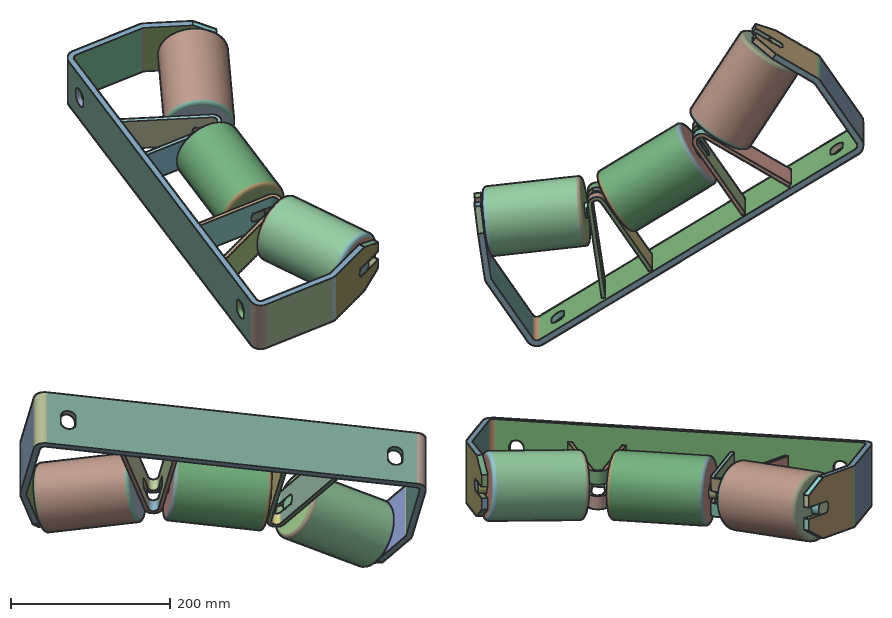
import cadquery as cq
import math


LENGTH = 500.0
STRIP_WIDTH = 80.0
FRAME_THICKNESS = 8.0
FRAME_INNER_RADIUS = 6.0
FRAME_OUTER_RADIUS = FRAME_INNER_RADIUS + FRAME_THICKNESS
BEND_HEIGHT = 112.0
ARM_LENGTH = 94.0
TIP_CHAMFER_LENGTH = 30.0
TIP_CHAMFER_ANGLE = 30.0
MOUNT_SLOT_WIDTH = 19.0
MOUNT_SLOT_HEIGHT = 28.0
MOUNT_SLOT_X = 208.5

LEAN_ANGLE = 25.0
TILT_ANGLE = 3.0
LEAN_SIN = math.sin(math.radians(LEAN_ANGLE))
LEAN_COS = math.cos(math.radians(LEAN_ANGLE))
TILT_SIN = math.sin(math.radians(TILT_ANGLE))
TILT_COS = math.cos(math.radians(TILT_ANGLE))

BRACKET_WIDTH = 50.0
BRACKET_THICKNESS = 5.0
BRACKET_OUTER_RADIUS = 11.5
BRACKET_INNER_RADIUS = BRACKET_OUTER_RADIUS - BRACKET_THICKNESS
BRACKET_FACE_X = 67.0
BRACKET_BEND_X = BRACKET_FACE_X + BRACKET_OUTER_RADIUS
BRACKET_BEND_Y = 118.5

ROLLER_LENGTH = 125.0
ROLLER_DIAMETER = 88.5
ROLLER_FILLET = 5.0
SHAFT_DIAMETER = 20.0
SHOULDER_LENGTH = 2.5
SHAFT_FLATS = 15.0
OPEN_SLOT_LENGTH = 50.0
MIDDLE_AXIS_Y = 101.0
MIDDLE_AXIS_Z = -8.0
ARM_AXIS_DISTANCE = 63.5
ARM_AXIS_Z = -0.5
ARM_ROLLER_GAP = 3.5

SIDE_OUTER_REACH = ROLLER_LENGTH / 2 + ARM_ROLLER_GAP + FRAME_THICKNESS
ARM_AXIS_X = -LENGTH / 2 + ARM_AXIS_DISTANCE * LEAN_SIN
ARM_AXIS_Y = BEND_HEIGHT + ARM_AXIS_DISTANCE * LEAN_COS
AXIS_DIRECTION = cq.Vector(-LEAN_COS * TILT_COS, LEAN_SIN * TILT_COS, TILT_SIN)
SIDE_CENTER = cq.Vector(ARM_AXIS_X, ARM_AXIS_Y, ARM_AXIS_Z) - AXIS_DIRECTION * SIDE_OUTER_REACH

BEND_TO_CENTER = -(SIDE_CENTER.x + BRACKET_BEND_X) * LEAN_COS + (SIDE_CENTER.y - BRACKET_BEND_Y) * LEAN_SIN
SIDE_INNER_REACH = (BEND_TO_CENTER - BRACKET_INNER_RADIUS) / TILT_COS
SIDE_SPAN = (SIDE_INNER_REACH + SIDE_OUTER_REACH) * TILT_COS
MIDDLE_REACH = BRACKET_FACE_X + BRACKET_THICKNESS

ARM_UP = (LEAN_SIN, LEAN_COS, 0)
ARM_OUT = (-LEAN_COS, LEAN_SIN, 0)
SIDE_PLANE = cq.Plane(origin=SIDE_CENTER.toTuple(), xDir=ARM_UP, normal=AXIS_DIRECTION.toTuple())
MIDDLE_PLANE = cq.Plane(origin=(0, MIDDLE_AXIS_Y, MIDDLE_AXIS_Z), xDir=(0, 1, 0), normal=(-1, 0, 0))

SIDE_INNER_END = SIDE_CENTER - AXIS_DIRECTION * SIDE_INNER_REACH
SIDE_INNER_FACE = cq.Plane(origin=SIDE_INNER_END.toTuple(), xDir=ARM_UP, normal=ARM_OUT)
MIDDLE_INNER_FACE = cq.Plane(
    origin=(MIDDLE_REACH, MIDDLE_AXIS_Y, MIDDLE_AXIS_Z), xDir=(0, 1, 0), normal=(-1, 0, 0)
)


def both_sides(solid):
    """The left-hand solid and its mirror image on the right."""
    return [solid, solid.mirror("YZ")]



def make_shaft(plane, inner_face, span):
    """Shaft with two flats along a plane's normal, trimmed flush with the plates that hold it.

    The span runs from the inner plate face, given as a plane, to the outer plate face.
    """
    base = cq.Workplane(plane)
    rod = base.circle(SHAFT_DIAMETER / 2).extrude(span, both=True)
    flats = base.rect(SHAFT_DIAMETER, SHAFT_FLATS).extrude(span, both=True)
    between_faces = cq.Workplane(inner_face).rect(ROLLER_DIAMETER, ROLLER_DIAMETER).extrude(span)
    return rod.intersect(flats).intersect(between_faces).clean()


def make_open_slot(plane, start, end):
    """Cutter for a slot as wide as the flats, opening from the axis along the plate."""
    return (
        cq.Workplane(plane)
        .workplane(offset=start)
        .center(OPEN_SLOT_LENGTH / 2, 0)
        .rect(OPEN_SLOT_LENGTH, SHAFT_FLATS)
        .extrude(end - start)
    )


def make_roller(plane, shaft):
    """Round-edged drum in one piece with its shaft and the round shoulders at both ends."""
    base = cq.Workplane(plane)
    drum = (
        base.workplane(offset=-ROLLER_LENGTH / 2)
        .circle(ROLLER_DIAMETER / 2)
        .extrude(ROLLER_LENGTH)
        .edges("%CIRCLE")
        .fillet(ROLLER_FILLET)
    )
    shoulders = base.circle(SHAFT_DIAMETER / 2).extrude(ROLLER_LENGTH / 2 + SHOULDER_LENGTH, both=True)
    return drum.union(shoulders).union(shaft)



def make_strip():
    """Back plate with two side walls whose arms lean inward at the bends."""
    half = LENGTH / 2
    inner_half = half - FRAME_THICKNESS
    inner_bend_y = BEND_HEIGHT - FRAME_THICKNESS * math.tan(math.radians(LEAN_ANGLE / 2))
    tip_x = half - ARM_LENGTH * LEAN_SIN
    tip_y = BEND_HEIGHT + ARM_LENGTH * LEAN_COS
    outer = [(half, 0), (half, BEND_HEIGHT)]
    tip = [(tip_x, tip_y), (tip_x - FRAME_THICKNESS * LEAN_COS, tip_y - FRAME_THICKNESS * LEAN_SIN)]
    inner = [(inner_half, inner_bend_y), (inner_half, FRAME_THICKNESS)]
    right = outer + tip + inner
    left = [(-x, y) for x, y in reversed(right)]
    strip = (
        cq.Workplane("XY")
        .polyline(right + left)
        .close()
        .extrude(STRIP_WIDTH / 2, both=True)
    )
    for corners, radius in ((outer, FRAME_OUTER_RADIUS), (inner, FRAME_INNER_RADIUS)):
        for x, y in corners:
            for side in (1, -1):
                strip = strip.edges(cq.selectors.NearestToPointSelector((side * x, y, 0))).fillet(radius)
    return strip


def make_arm_cutter(shaft):
    """Removes from the left arm its tip corners and the open slot that holds the shaft."""
    chamfer_width = TIP_CHAMFER_LENGTH * math.tan(math.radians(TIP_CHAMFER_ANGLE))
    arm_plane = cq.Plane(origin=(-LENGTH / 2, BEND_HEIGHT, 0), xDir=ARM_UP, normal=ARM_OUT)
    edge = STRIP_WIDTH / 2
    corner = (
        cq.Workplane(arm_plane)
        .polyline([
            (ARM_LENGTH - TIP_CHAMFER_LENGTH, edge),
            (ARM_LENGTH, edge),
            (ARM_LENGTH, edge - chamfer_width),
        ])
        .close()
        .extrude(-FRAME_THICKNESS)
    )
    slot = make_open_slot(SIDE_PLANE, ROLLER_LENGTH / 2, SIDE_OUTER_REACH + ARM_ROLLER_GAP)
    return slot.union(shaft).union(corner).union(corner.mirror("XY"))


def make_frame(shaft):
    frame = make_strip()
    for cutter in both_sides(make_arm_cutter(shaft)):
        frame = frame.cut(cutter)
    mount_slots = (
        cq.Workplane("XZ")
        .pushPoints([(-MOUNT_SLOT_X, 0), (MOUNT_SLOT_X, 0)])
        .slot2D(MOUNT_SLOT_HEIGHT, MOUNT_SLOT_WIDTH, 90)
        .extrude(-FRAME_THICKNESS)
    )
    return frame.cut(mount_slots)



def bend_point(radius, angle):
    """Point on the left bracket's bend, with the angle in degrees from +X."""
    turn = math.radians(angle)
    return (-BRACKET_BEND_X + radius * math.cos(turn), BRACKET_BEND_Y + radius * math.sin(turn))


def make_left_bracket(side_shaft, middle_shaft):
    """Two legs joined by a bend, each with a shaft slot that opens through the bend."""
    slanted_angle = 180 - LEAN_ANGLE
    outer_end = bend_point(BRACKET_OUTER_RADIUS, slanted_angle)
    inner_end = bend_point(BRACKET_INNER_RADIUS, slanted_angle)
    leg_length = (inner_end[1] - FRAME_THICKNESS) / LEAN_COS
    foot_outer = (outer_end[0] - leg_length * LEAN_SIN, outer_end[1] - leg_length * LEAN_COS)
    foot_inner = (inner_end[0] - leg_length * LEAN_SIN, FRAME_THICKNESS)
    bracket = (
        cq.Workplane("XY", origin=(0, 0, MIDDLE_AXIS_Z))
        .moveTo(-BRACKET_FACE_X, FRAME_THICKNESS)
        .lineTo(*bend_point(BRACKET_OUTER_RADIUS, 0))
        .threePointArc(bend_point(BRACKET_OUTER_RADIUS, 90), outer_end)
        .lineTo(*foot_outer)
        .lineTo(*foot_inner)
        .lineTo(*inner_end)
        .threePointArc(bend_point(BRACKET_INNER_RADIUS, 90), bend_point(BRACKET_INNER_RADIUS, 0))
        .lineTo(-BRACKET_FACE_X - BRACKET_THICKNESS, FRAME_THICKNESS)
        .close()
        .extrude(BRACKET_WIDTH / 2, both=True)
    )
    side_slot = make_open_slot(SIDE_PLANE, -BEND_TO_CENTER / TILT_COS, -ROLLER_LENGTH / 2)
    middle_slot = make_open_slot(MIDDLE_PLANE, ROLLER_LENGTH / 2, BRACKET_BEND_X)
    for cutter in (side_slot, side_shaft, middle_slot, middle_shaft):
        bracket = bracket.cut(cutter)
    return bracket


side_shaft = make_shaft(SIDE_PLANE, SIDE_INNER_FACE, SIDE_SPAN)
middle_shaft = make_shaft(MIDDLE_PLANE, MIDDLE_INNER_FACE, 2 * MIDDLE_REACH)

frame = make_frame(side_shaft)
brackets = both_sides(make_left_bracket(side_shaft, middle_shaft))
middle_roller = make_roller(MIDDLE_PLANE, middle_shaft)
side_rollers = both_sides(make_roller(SIDE_PLANE, side_shaft))

result = cq.Compound.makeCompound([
    frame.solids().val(),
    *[bracket.solids().val() for bracket in brackets],
    middle_roller.solids().val(),
    *[roller.solids().val() for roller in side_rollers],
])